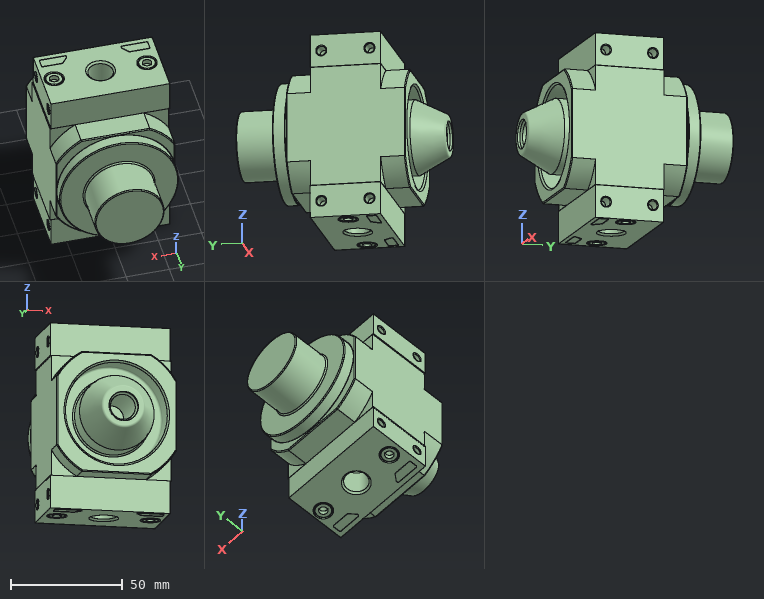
import cadquery as cq
import math

housing_side = 55.1
housing_half = housing_side / 2
housing_front_y = -32.6
housing_back_y = 21.85
end_section_diameter = 63.6
edge_chamfer = 0.5

recess_diameter = 46.7
recess_mouth_diameter = 48.4
recess_depth = 11.3
recess_floor_y = housing_front_y + recess_depth
recess_fillet = 0.9

nose_tip_y = -47.3
nose_tip_diameter = 19.4
nose_diameter = 34.2
nose_tip_fillet = 1.1
nose_base_flare = 0.8
nose_seat_depth = 5.7
nose_mouth_depth = 1.1
nose_bore_depth = 26.5

shank_end_y = 47.3
shank_diameter = 32.1
shank_chamfer = 0.5
shank_base_flare = 0.7
flange_front_chamfer = 0.3
flange_back_y = 28.3
flange_front_y = 22.4
neck_diameter = 49.2

plate_length = 55.1
plate_shift_x = -0.5
plate_width = 32.2
plate_thickness = 14.99
plate_center_y = -5.3
plate_outer_z = housing_half + plate_thickness

port_diameter = 11.4
port_mouth_diameter = 13.3
port_chamfer = (port_mouth_diameter - port_diameter) / 2

screw_offset_x = 21.5
screw_head_diameter = 8.2
screw_head_height = 4.7
screw_head_chamfer = 0.4
screw_shank_diameter = 5.0
screw_length = 24.6
socket_diameter = 4.2
socket_depth = 2.4
head_recess_mouth_diameter = 9.2

side_hole_diameter = 4.2
side_hole_mouth_diameter = 5.0
side_hole_depth = 7.6
side_hole_spacing = 22.0
drill_point_angle = 118.0

label_center_x = -0.2
label_inner_x = 12.5
label_length = 12.4
label_front_y = -18.9
label_width = 4.5
label_cut_x = 2.7
label_cut_y = 3.4
label_corner_radius = 0.6
label_depth = 0.2


def cylinder_y(diameter, start_y, end_y):
    """A cylinder on the Y axis from start_y to end_y."""
    return cq.Workplane("XZ", origin=(0, start_y, 0)).circle(diameter / 2).extrude(start_y - end_y)


def cone_frustum(start_diameter, end_diameter, height, origin, direction):
    """A cone frustum that starts at the origin and runs along the direction."""
    return cq.Workplane(
        cq.Solid.makeCone(start_diameter / 2, end_diameter / 2, height, cq.Vector(*origin), cq.Vector(*direction))
    )


def drilled_hole(diameter, depth, origin, direction):
    """A blind hole with a conical bottom, as a solid to cut away."""
    axis = cq.Vector(*direction)
    bottom = cq.Vector(*origin) + axis * depth
    point_depth = diameter / 2 / math.tan(math.radians(drill_point_angle / 2))
    hole = cq.Workplane(cq.Solid.makeCylinder(diameter / 2, depth, cq.Vector(*origin), axis))
    return hole.union(cone_frustum(diameter, 0, point_depth, bottom.toTuple(), direction))


def cross_port():
    """The bore along Z that runs through both plates and the housing."""
    return (
        cq.Workplane("XY", origin=(0, plate_center_y, -plate_outer_z))
        .circle(port_diameter / 2)
        .extrude(2 * plate_outer_z)
    )


def make_nose():
    seat_y = recess_floor_y + nose_seat_depth
    radius = nose_diameter / 2
    flare = nose_base_flare
    nose = (
        cq.Workplane("XY")
        .moveTo(0, nose_tip_y)
        .lineTo(nose_tip_diameter / 2, nose_tip_y)
        .lineTo(radius, housing_front_y)
        .lineTo(radius, recess_floor_y - flare)
        .radiusArc((radius + flare, recess_floor_y), -flare)
        .lineTo(radius, recess_floor_y)
        .lineTo(radius, seat_y)
        .lineTo(0, seat_y)
        .close()
        .revolve(360, (0, 0), (0, 1))
        .faces("<Y")
        .edges()
        .fillet(nose_tip_fillet)
    )
    bore = cylinder_y(port_diameter, nose_tip_y, nose_tip_y + nose_bore_depth)
    mouth_end_y = nose_tip_y + nose_mouth_depth
    mouth = cylinder_y(port_mouth_diameter, nose_tip_y, mouth_end_y)
    step = cone_frustum(port_mouth_diameter, port_diameter, port_chamfer, (0, mouth_end_y, 0), (0, 1, 0))
    return nose.cut(bore).cut(mouth).cut(step)


def make_housing():
    length = housing_back_y - housing_front_y
    center_y = (housing_back_y + housing_front_y) / 2
    square = cq.Workplane("XY").box(housing_side, length, housing_side).translate((0, center_y, 0))
    rounded = square.intersect(cylinder_y(end_section_diameter, housing_front_y, housing_back_y))
    rounded = rounded.faces("<Y or >Y").chamfer(edge_chamfer)
    middle = (
        cq.Workplane("XY").box(housing_side, plate_width, housing_side).translate((0, plate_center_y, 0))
    )
    housing = rounded.union(middle)

    recess = cylinder_y(recess_diameter, housing_front_y, recess_floor_y).faces(">Y").edges().fillet(recess_fillet)
    mouth_depth = (recess_mouth_diameter - recess_diameter) / 2
    mouth = cone_frustum(
        recess_mouth_diameter, recess_diameter, mouth_depth, (0, housing_front_y, 0), (0, 1, 0)
    )
    nose_seat = cylinder_y(nose_diameter, recess_floor_y, recess_floor_y + nose_seat_depth)
    return housing.cut(recess).cut(mouth).cut(nose_seat).cut(cross_port())


def make_flanged_shank():
    flange = cylinder_y(housing_side, flange_front_y, flange_back_y)
    flange = flange.faces(">Y").chamfer(edge_chamfer).faces("<Y").chamfer(flange_front_chamfer)
    neck = cylinder_y(neck_diameter, housing_back_y, flange_front_y)
    shank = cylinder_y(shank_diameter, flange_back_y, shank_end_y).faces(">Y").chamfer(shank_chamfer)
    base = cone_frustum(
        shank_diameter + 2 * shank_base_flare, shank_diameter, shank_base_flare,
        (0, flange_back_y, 0), (0, 1, 0),
    )
    return flange.union(neck).union(shank).union(base)


def make_screw(x):
    """An upright screw whose head is flush with the top plate."""
    head_bottom_z = plate_outer_z - screw_head_height
    head = (
        cq.Workplane("XY", origin=(x, plate_center_y, head_bottom_z))
        .circle(screw_head_diameter / 2)
        .extrude(screw_head_height)
        .faces(">Z")
        .chamfer(screw_head_chamfer)
    )
    shank = (
        cq.Workplane("XY", origin=(x, plate_center_y, head_bottom_z))
        .circle(screw_shank_diameter / 2)
        .extrude(-screw_length)
    )
    socket = drilled_hole(socket_diameter, socket_depth, (x, plate_center_y, plate_outer_z), (0, 0, -1))
    return head.union(shank).cut(socket)


def screw_hole(x):
    """The stepped hole for a screw, with a chamfered mouth."""
    top = cq.Workplane("XY", origin=(x, plate_center_y, plate_outer_z))
    head_hole = top.circle(screw_head_diameter / 2).extrude(-screw_head_height)
    shank_hole = top.circle(screw_shank_diameter / 2).extrude(-screw_head_height - screw_length)
    mouth_depth = (head_recess_mouth_diameter - screw_head_diameter) / 2
    mouth = cone_frustum(
        head_recess_mouth_diameter, screw_head_diameter, mouth_depth,
        (x, plate_center_y, plate_outer_z), (0, 0, -1),
    )
    return head_hole.union(shank_hole).union(mouth)


def label_field():
    """The shallow label field on the +X side, with one corner cut off."""
    outer_x = label_inner_x + label_length
    back_y = label_front_y + label_width
    return (
        cq.Workplane("XY", origin=(0, 0, plate_outer_z))
        .moveTo(label_inner_x, label_front_y)
        .lineTo(outer_x, label_front_y)
        .lineTo(outer_x, back_y)
        .lineTo(label_inner_x + label_cut_x, back_y)
        .lineTo(label_inner_x, back_y - label_cut_y)
        .close()
        .extrude(-label_depth)
        .edges("|Z")
        .fillet(label_corner_radius)
    )


def make_plate():
    """The top end plate."""
    plate = (
        cq.Workplane("XY", origin=(plate_shift_x, plate_center_y, housing_half))
        .rect(plate_length, plate_width)
        .extrude(plate_thickness)
    )
    plate = plate.cut(cross_port())
    plate = plate.cut(cone_frustum(
        port_mouth_diameter, port_diameter, port_chamfer, (0, plate_center_y, plate_outer_z), (0, 0, -1)
    ))
    for x in (-screw_offset_x, screw_offset_x):
        plate = plate.cut(screw_hole(x))

    side_z = housing_half + plate_thickness / 2
    mouth_depth = (side_hole_mouth_diameter - side_hole_diameter) / 2
    for end in (-1, 1):
        side_x = plate_shift_x + end * plate_length / 2
        for row in (-1, 1):
            mouth_center = (side_x, plate_center_y + row * side_hole_spacing / 2, side_z)
            inward = (-end, 0, 0)
            plate = plate.cut(drilled_hole(side_hole_diameter, side_hole_depth, mouth_center, inward))
            plate = plate.cut(cone_frustum(
                side_hole_mouth_diameter, side_hole_diameter, mouth_depth, mouth_center, inward
            ))

    label = label_field()
    return plate.cut(label).cut(label.mirror("YZ", (label_center_x, 0, 0)))


nose = make_nose()
flanged_shank = make_flanged_shank()
top_plate = make_plate()
bottom_plate = top_plate.mirror("XY")
top_screws = [make_screw(x) for x in (-screw_offset_x, screw_offset_x)]
bottom_screws = [screw.mirror("XY") for screw in top_screws]

housing = make_housing()
for x in (-screw_offset_x, screw_offset_x):
    hole = screw_hole(x)
    housing = housing.cut(hole).cut(hole.mirror("XY"))

bodies = [housing, nose, flanged_shank, top_plate, bottom_plate, *top_screws, *bottom_screws]
result = cq.Compound.makeCompound([body.val() for body in bodies])